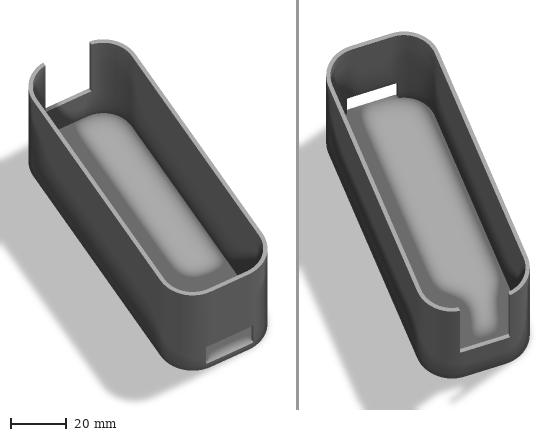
import cadquery as cq

length = 118.4
width = 42.0
height = 45.0
corner_radius = 13.3
wall = 1.5
floor = 3.0

notch_width = 19.0
notch_bottom = 16.9

window_width = 19.5
window_bottom = floor
window_top = 13.0


def rounded_block(block_length, block_width, block_height, radius):
    """Upright block standing on Z = 0 with rounded vertical edges."""
    block = cq.Workplane("XY").box(block_length, block_width, block_height, centered=(True, True, False))
    return block.edges("|Z").fillet(radius)


def make_cavity():
    """Inside of the box, offset from the outer wall and open at the top."""
    cavity = rounded_block(length - 2 * wall, width - 2 * wall, height - floor, corner_radius - wall)
    return cavity.translate((0, 0, floor))


def make_end_notch():
    """Cutter for the notch, reaching from the outer end face to the inner corner tangency."""
    notch = cq.Workplane("XY").box(
        corner_radius, notch_width, height - notch_bottom, centered=(False, True, False)
    )
    return notch.translate((-length / 2, 0, notch_bottom))


def make_end_window():
    """Cutter for the closed rectangular window in the end wall opposite the notch."""
    window = cq.Workplane("XY").box(
        corner_radius, window_width, window_top - window_bottom, centered=(False, True, False)
    )
    return window.translate((length / 2 - corner_radius, 0, window_bottom))


outer = rounded_block(length, width, height, corner_radius)
result = outer.cut(make_cavity()).cut(make_end_notch()).cut(make_end_window())